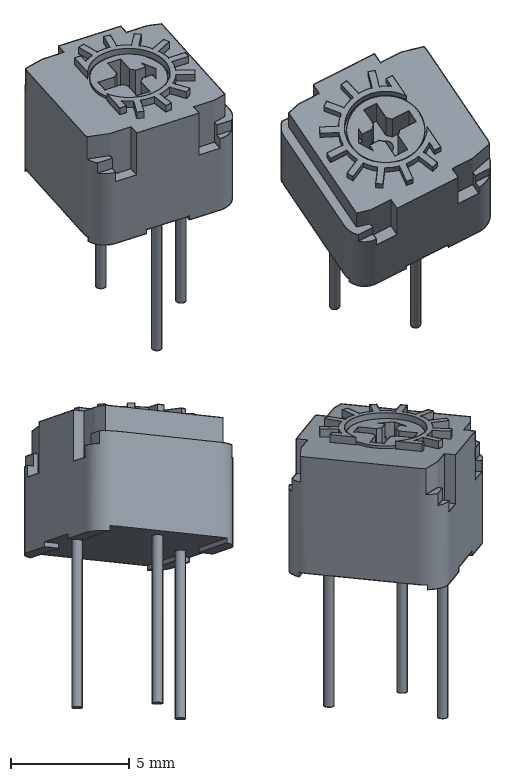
import cadquery as cq

OVERALL_HEIGHT = 12.8
HOUSING_SIDE = 7.0
CORNER_RADIUS = 1.0
PIN_REACH = 7.0
COLLAR_HEIGHT = 0.35
HOUSING_TOP = OVERALL_HEIGHT - PIN_REACH - COLLAR_HEIGHT
HALF_SIDE = HOUSING_SIDE / 2
CORNER_START = HALF_SIDE - CORNER_RADIUS

FOOT_HEIGHT = 0.2
FOOT_CLEAR_X = 5.63
FOOT_CLEAR_Y = 2.05

NOTCH_DEPTH_X = 0.5
NOTCH_INNER_Y = 1.5
NOTCH_DROP = 2.2
SHELF_DROP = 1.16
BACK_SHELF_WIDTH = 0.41
BACK_TAPER = 0.17
FRONT_TAPER = 0.25
LEDGE_WIDTH = 0.3
LEDGE_DROP = 1.7

PIN_DIAMETER = 0.45
PIN_PITCH = 2.5
PIN_PLACES = [(-PIN_PITCH, 0), (0, PIN_PITCH), (PIN_PITCH, 0)]

COLLAR_OUTER_RADIUS = 2.0
COLLAR_INNER_RADIUS = 1.74
COLLAR_FRONT_Y = -1.51
MARK_WIDTH = 0.31
MARK_REACH = 2.79
MARK_STEP = 27.0
MARKS_PER_SIDE = 4
STOP_BAR_REACH = 2.02

ROTOR_DIAMETER = 3.3
ROTOR_RISE = 0.12
ROTOR_DEPTH = 2.0
ROTOR_TOP = HOUSING_TOP + ROTOR_RISE
SLOT_REACH = 1.3
SLOT_WIDTH = 0.61
SLOT_DEPTH = 1.5
SLOT_CORNER_CHAMFER = 0.19
ARROW_BASE_Y = 0.97
ARROW_HALF_WIDTH = 0.61
ARROW_DEPTH = 0.63
DIMPLE_TOP_RADIUS = 0.32
DIMPLE_BOTTOM_RADIUS = 0.1
DIMPLE_DEPTH = 0.35


def block(x_range, y_range, z_range):
    """Box given by its limits along each axis."""
    size = [high - low for low, high in (x_range, y_range, z_range)]
    corner = (x_range[0], y_range[0], z_range[0])
    return cq.Workplane("XY").box(*size, centered=False).translate(corner)


def rounded_block(bottom, top):
    """Part of the square, corner-rounded housing prism between two heights."""
    prism = cq.Workplane("XY", origin=(0, 0, bottom)).rect(HOUSING_SIDE, HOUSING_SIDE)
    return prism.extrude(top - bottom).edges("|Z").fillet(CORNER_RADIUS)


def upper_outline():
    """Part of the housing that rises above the shelf, seen from above."""
    side_x = HALF_SIDE - NOTCH_DEPTH_X
    back_y = HALF_SIDE - BACK_SHELF_WIDTH
    right_half = [
        (side_x - FRONT_TAPER, -HALF_SIDE),
        (side_x, -CORNER_START),
        (HALF_SIDE, -CORNER_START),
        (HALF_SIDE, CORNER_START),
        (side_x, CORNER_START),
        (side_x - BACK_TAPER, back_y),
    ]
    left_half = [(-x, y) for x, y in reversed(right_half)]
    return right_half + left_half


def make_housing_block():
    shelf_z = HOUSING_TOP - SHELF_DROP
    upper = (
        cq.Workplane("XY", origin=(0, 0, shelf_z))
        .polyline(upper_outline())
        .close()
        .extrude(SHELF_DROP)
        .intersect(rounded_block(shelf_z, HOUSING_TOP))
    )
    housing = rounded_block(0, shelf_z).union(upper)

    for x_side in (-1, 1):
        for y_side in (-1, 1):
            outer_x = x_side * HALF_SIDE
            start_y = y_side * CORNER_START
            notch_x = sorted((outer_x, outer_x - x_side * NOTCH_DEPTH_X))
            notch_y = sorted((start_y, y_side * NOTCH_INNER_Y))
            housing = housing.cut(block(notch_x, notch_y, (HOUSING_TOP - NOTCH_DROP, HOUSING_TOP)))
            ledge_x = sorted((outer_x, outer_x - x_side * LEDGE_WIDTH))
            ledge_y = sorted((start_y, y_side * HALF_SIDE))
            housing = housing.cut(block(ledge_x, ledge_y, (HOUSING_TOP - LEDGE_DROP, HOUSING_TOP)))
    return housing


def cut_feet(housing):
    """Relieve the underside in a cross, leaving four corner feet."""
    relief = cq.Workplane("XY").rect(FOOT_CLEAR_X, HOUSING_SIDE).extrude(FOOT_HEIGHT)
    relief = relief.union(cq.Workplane("XY").rect(HOUSING_SIDE, FOOT_CLEAR_Y).extrude(FOOT_HEIGHT))
    return housing.cut(relief)


def make_collar():
    """Raised dial ring, open at the front, with radial marks and two end bars."""
    collar_z = (HOUSING_TOP, HOUSING_TOP + COLLAR_HEIGHT)
    base = cq.Workplane("XY", origin=(0, 0, HOUSING_TOP))
    collar = base.circle(COLLAR_OUTER_RADIUS).extrude(COLLAR_HEIGHT)
    front = block((-HALF_SIDE, HALF_SIDE), (-HALF_SIDE, COLLAR_FRONT_Y), collar_z)
    collar = collar.cut(front)

    half_mark = MARK_WIDTH / 2
    mark = block((-half_mark, half_mark), (0, MARK_REACH), collar_z)
    for step in range(-MARKS_PER_SIDE, MARKS_PER_SIDE + 1):
        collar = collar.union(mark.rotate((0, 0, 0), (0, 0, 1), step * MARK_STEP))

    bar_y = (COLLAR_FRONT_Y, COLLAR_FRONT_Y + MARK_WIDTH)
    collar = collar.union(block((-STOP_BAR_REACH, STOP_BAR_REACH), bar_y, collar_z))

    opening = base.circle(COLLAR_INNER_RADIUS).extrude(COLLAR_HEIGHT)
    return collar.cut(opening)


def make_pins():
    pins = cq.Workplane("XY", origin=(0, 0, -PIN_REACH)).pushPoints(PIN_PLACES)
    return pins.circle(PIN_DIAMETER / 2).extrude(PIN_REACH + FOOT_HEIGHT)


def rotor_blank():
    """Plain rotor cylinder, which is also the shape of its seat in the housing."""
    blank = cq.Workplane("XY", origin=(0, 0, HOUSING_TOP - ROTOR_DEPTH)).circle(ROTOR_DIAMETER / 2)
    return blank.extrude(ROTOR_DEPTH + ROTOR_RISE)


def make_housing():
    housing = cut_feet(make_housing_block())
    return housing.union(make_collar()).union(make_pins()).cut(rotor_blank())


def drive_slot():
    """Cross-shaped driver slot with chamfered inner corners and one pointed arm."""
    half_width = SLOT_WIDTH / 2
    floor_z = ROTOR_TOP - SLOT_DEPTH
    slot_z = (floor_z, ROTOR_TOP)
    long_way = (-SLOT_REACH, SLOT_REACH)
    across = (-half_width, half_width)
    cross = block(long_way, across, slot_z).union(block(across, long_way, slot_z))

    corner_reach = SLOT_WIDTH + SLOT_CORNER_CHAMFER
    diamond = cq.Workplane("XY", origin=(0, 0, floor_z)).polyline(
        [(corner_reach, 0), (0, corner_reach), (-corner_reach, 0), (0, -corner_reach)]
    )
    cross = cross.union(diamond.close().extrude(SLOT_DEPTH))

    point_slope = (SLOT_REACH - ARROW_BASE_Y) / ARROW_HALF_WIDTH
    shoulder_y = SLOT_REACH - half_width * point_slope
    for side in (-1, 1):
        trim = cq.Workplane("XY", origin=(0, 0, floor_z)).polyline(
            [(0, SLOT_REACH), (side * half_width, SLOT_REACH), (side * half_width, shoulder_y)]
        )
        cross = cross.cut(trim.close().extrude(SLOT_DEPTH))
    return cross


def arrow_recess():
    """Shallow triangle that forms the head of the pointer arrow."""
    outline = [(-ARROW_HALF_WIDTH, ARROW_BASE_Y), (ARROW_HALF_WIDTH, ARROW_BASE_Y), (0, SLOT_REACH)]
    triangle = cq.Workplane("XY", origin=(0, 0, ROTOR_TOP - ARROW_DEPTH)).polyline(outline)
    return triangle.close().extrude(ARROW_DEPTH)


def centre_dimple():
    """Conical dimple with a flat bottom in the floor of the driver slot."""
    dimple = cq.Workplane("XY", origin=(0, 0, ROTOR_TOP - SLOT_DEPTH)).circle(DIMPLE_TOP_RADIUS)
    return dimple.workplane(offset=-DIMPLE_DEPTH).circle(DIMPLE_BOTTOM_RADIUS).loft()


def make_rotor():
    return rotor_blank().cut(drive_slot()).cut(arrow_recess()).cut(centre_dimple())


housing = make_housing()
rotor = make_rotor()
result = cq.Compound.makeCompound([housing.val(), rotor.val()])